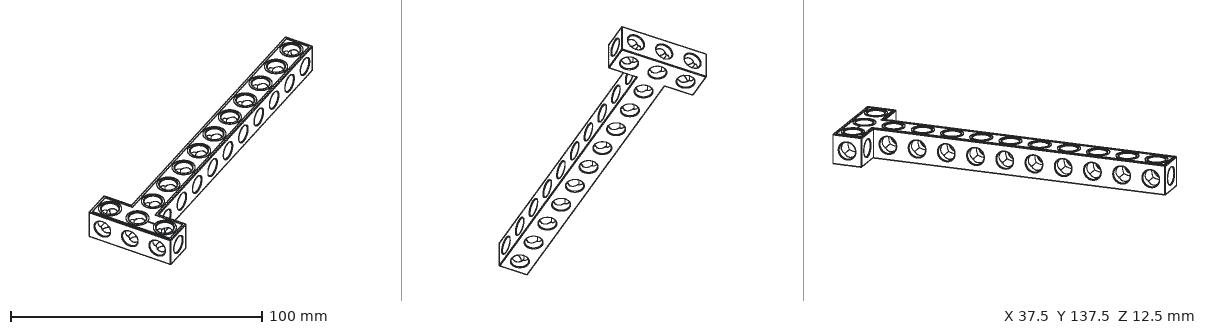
import cadquery as cq

LENGTH = 137.5
CELLS_LONG = 11
CELLS_WIDE = 3
CELL = LENGTH / CELLS_LONG
WIDTH = CELLS_WIDE * CELL
THICKNESS = CELL

CHAMFER = 0.3
HOLE_DIAMETER = 7.0

RECESS_DEPTH = 0.2
BORDER_WIDTH = 1.1
RIM_DIAMETER = 9.2
RIM_LINK_WIDTH = 0.1

BAR_Y = (CELL - LENGTH) / 2
TOP_Z = THICKNESS / 2
row_places = [BAR_Y + row * CELL for row in range(CELLS_LONG)]
column_places = [(column - (CELLS_WIDE - 1) / 2) * CELL for column in range(CELLS_WIDE)]
arm_cells = [(0, y) for y in row_places]
side_cells = [(column_places[0], BAR_Y), (column_places[-1], BAR_Y)]
cell_centers = arm_cells + side_cells


def make_blank():
    """Solid T made of two chamfered boxes; its two inner corners stay sharp."""
    bar = cq.Workplane("XY").box(WIDTH, CELL, THICKNESS).edges().chamfer(CHAMFER)
    arm = cq.Workplane("XY").box(CELL, LENGTH, THICKNESS).edges().chamfer(CHAMFER)
    return arm.union(bar.translate((0, BAR_Y, 0)))


def make_recess():
    """Shallow recess inside a border, with a rim left around each hole and a link between two rims."""
    floor_plane = cq.Workplane("XY", origin=(0, 0, TOP_Z - RECESS_DEPTH))
    margin = 2 * BORDER_WIDTH
    arm = floor_plane.rect(CELL - margin, LENGTH - margin).extrude(RECESS_DEPTH)
    bar = floor_plane.center(0, BAR_Y).rect(WIDTH - margin, CELL - margin).extrude(RECESS_DEPTH)
    rims = floor_plane.pushPoints(cell_centers).circle(RIM_DIAMETER / 2).extrude(RECESS_DEPTH)
    rim_link = floor_plane.center(CELL / 2, BAR_Y).rect(CELL, RIM_LINK_WIDTH).extrude(RECESS_DEPTH)
    return arm.union(bar).cut(rims).cut(rim_link)


def make_hole(center, direction, span):
    """Cutter for a through hole of the given span, with a chamfered mouth at both ends."""
    center = cq.Vector(*center)
    direction = cq.Vector(*direction)
    radius = HOLE_DIAMETER / 2
    start = center - direction * (span / 2)
    end = center + direction * (span / 2)
    cutter = cq.Solid.makeCylinder(radius, span, start, direction)
    for mouth, inward in ((start, direction), (end, -direction)):
        cone = cq.Solid.makeCone(radius + CHAMFER, radius, CHAMFER, mouth, inward)
        cutter = cutter.fuse(cone)
    return cq.Workplane(cutter)


body = make_blank().cut(make_recess())

for x, y in cell_centers:
    body = body.cut(make_hole((x, y, 0), (0, 0, 1), THICKNESS))

for y in row_places:
    span = WIDTH if y == BAR_Y else CELL
    body = body.cut(make_hole((0, y, 0), (1, 0, 0), span))

body = body.cut(make_hole((0, 0, 0), (0, 1, 0), LENGTH))
for x, y in side_cells:
    body = body.cut(make_hole((x, y, 0), (0, 1, 0), CELL))

result = body